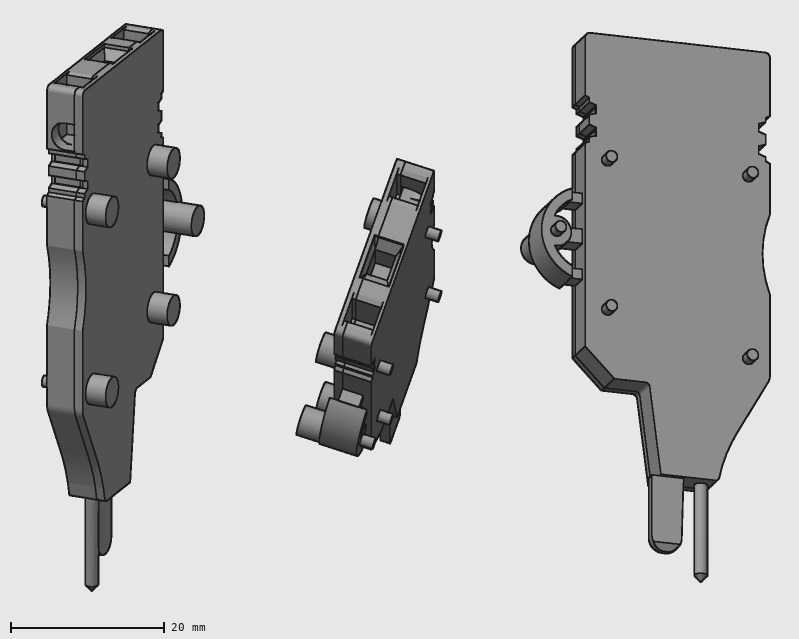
import cadquery as cq


total_height = 73.1
body_width = 25.5
body_thickness = 5.1
housing_thickness = 3.95
body_bottom = 13.4
top_corner_radius = 0.7

scallop_center_z = 45.3
scallop_half_height = 5.55
scallop_depth = 1.0

shoulder_z = 25.8
shoulder_chamfer = 4.0
nose_corner_y = 16.7
nose_corner_radius = 0.65
nose_far_y = 15.05
nose_near_y = 7.1
nose_tip_radius = 0.6
flank_round = ((0.0, 28.7), (0.3, 27.6))
flank_curve = ((4.45, 20.4), (6.6, 15.5))

grip_center_z = 61.1
grip_half_height = 3.3
grip_depth = 0.6
grip_chamfer = 0.3
groove_offset = 1.5
groove_mouth = 1.75
groove_bottom = 1.1
groove_depth = 0.95
panel_depth = 0.2

housing_wall = 0.45
cover_wall = 0.65
end_pocket_length = 4.7
end_pocket_throat = 3.2
end_pocket_margin = 1.4
end_pocket_lead_in = 0.2
middle_pocket_start = 11.05
middle_pocket_length = 6.15
middle_pocket_floor_length = 3.5
middle_pocket_lip = 0.5
middle_pocket_taper = 1.3
middle_pocket_depth = 7.3
core_near_x = 1.1
slot_bottom = 64.6
slot_height = 3.7

peg_radius = 0.77
peg_length = 1.75
boss_radius = 2.05
boss_length = 2.85
hub_boss_length = 3.15
peg_far_y = 22.45
peg_near_y = 3.0
peg_upper_z = 55.8
peg_places = [
    (peg_far_y, peg_upper_z),
    (peg_near_y, peg_upper_z),
    (peg_far_y, 35.2),
    (peg_near_y, 30.6),
]
ring_overhang = 6.0
ring_outer_radius = 6.5
ring_inner_radius = 5.1
ring_end_y = 27.3
arm_span = 11.85
outer_arm_height = 1.4
middle_arm_height = 2.0

blade_near_x = 0.65
blade_thickness = 1.3
blade_far_y = 16.1
blade_near_y = 11.7
blade_tip_near_y = 12.0
blade_tip_z = 3.2
blade_tip_radius = 1.9
blade_bevel_height = 1.0
blade_bevel_depth = 0.5
pin_x = 2.5
pin_y = 8.7
pin_radius = 0.9
pin_cone_height = 0.95

pocket_far_x = body_thickness - cover_wall
far_pocket_y = body_width - end_pocket_margin - end_pocket_length / 2
near_pocket_y = end_pocket_margin + end_pocket_length / 2
middle_pocket_y = middle_pocket_start + middle_pocket_length / 2
ring_center = (body_width + ring_overhang - ring_outer_radius, scallop_center_z)
hub_center = (body_width + ring_overhang - boss_radius, scallop_center_z)


def box(x_range, y_range, z_range):
    """Box between two limits along each axis."""
    low, high = zip(x_range, y_range, z_range)
    size = [b - a for a, b in zip(low, high)]
    return cq.Workplane("XY").box(*size, centered=False).translate(low)


def rod(place, radius, start_x, length):
    """Round bar along X, centred on a (Y, Z) place."""
    return cq.Workplane("YZ", origin=(start_x, 0, 0)).center(*place).circle(radius).extrude(length)


def centered_range(center, length):
    return (center - length / 2, center + length / 2)


def body_plate(start_x, thickness):
    """Slab with the outline shared by the housing and the cover."""
    plate = (
        cq.Workplane("YZ", origin=(start_x, 0, 0))
        .moveTo(body_width, total_height)
        .lineTo(0, total_height)
        .lineTo(0, scallop_center_z + scallop_half_height)
        .threePointArc((scallop_depth, scallop_center_z), (0, scallop_center_z - scallop_half_height))
        .lineTo(*flank_round[0])
        .tangentArcPoint(flank_round[1], relative=False)
        .lineTo(*flank_curve[0])
        .tangentArcPoint(flank_curve[1], relative=False)
        .lineTo(nose_near_y, body_bottom)
        .lineTo(nose_far_y, body_bottom)
        .lineTo(nose_corner_y, shoulder_z)
        .lineTo(body_width - shoulder_chamfer, shoulder_z)
        .lineTo(body_width, shoulder_z + shoulder_chamfer)
        .close()
        .extrude(thickness)
    )
    plate = plate.edges("|X and >Z").fillet(top_corner_radius)
    rounded_corners = [
        (nose_corner_y, shoulder_z, nose_corner_radius),
        (nose_near_y, body_bottom, nose_tip_radius),
    ]
    for y, z, radius in rounded_corners:
        corner = cq.selectors.NearestToPointSelector((start_x + thickness / 2, y, z))
        plate = plate.edges("|X").edges(corner).fillet(radius)
    return plate


def grip_cut():
    """Material removed for the finger grip on the Y = 0 edge."""
    z_low = grip_center_z - grip_half_height
    z_high = grip_center_z + grip_half_height
    cut = (
        cq.Workplane("YZ")
        .polyline([
            (0, z_low),
            (grip_depth, z_low + grip_chamfer),
            (grip_depth, z_high - grip_chamfer),
            (0, z_high),
        ])
        .close()
        .extrude(body_thickness)
    )
    groove_floor = grip_depth + groove_depth
    for center_z in (grip_center_z - groove_offset, grip_center_z + groove_offset):
        groove = (
            cq.Workplane("YZ")
            .polyline([
                (grip_depth, center_z - groove_mouth / 2),
                (groove_floor, center_z - groove_bottom / 2),
                (groove_floor, center_z + groove_bottom / 2),
                (grip_depth, center_z + groove_mouth / 2),
            ])
            .close()
            .extrude(body_thickness)
        )
        panel = box(
            (housing_wall, pocket_far_x),
            (groove_floor, groove_floor + panel_depth),
            centered_range(center_z, groove_bottom),
        )
        cut = cut.union(groove).union(panel)
    return cut


def end_pocket(center_y):
    """Terminal opening in the top, with sloped lead-ins at both Y ends."""
    mouth = end_pocket_length / 2
    throat = end_pocket_throat / 2
    throat_z = total_height - end_pocket_lead_in
    return (
        cq.Workplane("YZ", origin=(housing_wall, 0, 0))
        .polyline([
            (center_y - mouth, total_height),
            (center_y - throat, throat_z),
            (center_y - throat, slot_bottom),
            (center_y + throat, slot_bottom),
            (center_y + throat, throat_z),
            (center_y + mouth, total_height),
        ])
        .close()
        .extrude(pocket_far_x - housing_wall)
    )


def middle_pocket():
    """Test socket in the top: straight lip, four-sided funnel, then a straight shaft."""
    mouth_x = (housing_wall, pocket_far_x)
    shaft_x = (core_near_x, housing_thickness)
    shaft_y = centered_range(middle_pocket_y, middle_pocket_floor_length)
    funnel_top = total_height - middle_pocket_lip
    lip = box(mouth_x, centered_range(middle_pocket_y, middle_pocket_length), (funnel_top, total_height))
    shaft = box(shaft_x, shaft_y, (total_height - middle_pocket_depth, total_height))
    funnel = (
        cq.Workplane("XY", origin=(0, middle_pocket_y, funnel_top))
        .center(sum(mouth_x) / 2, 0)
        .rect(mouth_x[1] - mouth_x[0], middle_pocket_length)
        .workplane(offset=-middle_pocket_taper)
        .center(sum(shaft_x) / 2 - sum(mouth_x) / 2, 0)
        .rect(shaft_x[1] - shaft_x[0], middle_pocket_floor_length)
        .loft(ruled=True)
    )
    return lip.union(funnel).union(shaft)


def wire_slot():
    """Round-ended slot from the Y = 0 edge into the near pocket, open towards the cover."""
    radius = slot_height / 2
    center_z = slot_bottom + radius
    round_end = (
        cq.Workplane("XZ")
        .center(body_thickness / 2, center_z)
        .circle(radius)
        .extrude(-near_pocket_y)
    )
    straight = box(
        (body_thickness / 2, housing_thickness),
        (0, near_pocket_y),
        (slot_bottom, slot_bottom + slot_height),
    )
    housing_side = box((0, housing_thickness), (0, near_pocket_y), (0, total_height))
    return round_end.union(straight).intersect(housing_side)


def openings():
    """Every cut that crosses the seam between housing and cover."""
    grip = grip_cut()
    far_grip = grip.mirror("XZ").translate((0, body_width, 0))
    cuts = grip.union(far_grip).union(middle_pocket())
    for center_y in (near_pocket_y, far_pocket_y):
        cuts = cuts.union(end_pocket(center_y))
    return cuts


def ring():
    """Half ring with a hub, held beside the housing by three arms."""
    hoop = rod(ring_center, ring_outer_radius, 0, body_thickness)
    hoop = hoop.cut(rod(ring_center, ring_inner_radius, 0, body_thickness))
    outside = box((0, body_thickness), (ring_end_y, body_width + ring_overhang), (0, total_height))
    shape = hoop.intersect(outside).union(rod(hub_center, boss_radius, 0, body_thickness))
    outer_arm_z = (arm_span - outer_arm_height) / 2
    arms = [
        (scallop_center_z + outer_arm_z, outer_arm_height, ring_end_y),
        (scallop_center_z, middle_arm_height, hub_center[0]),
        (scallop_center_z - outer_arm_z, outer_arm_height, ring_end_y),
    ]
    for center_z, height, end_y in arms:
        arm = box((core_near_x, housing_thickness), (body_width, end_y), centered_range(center_z, height))
        shape = shape.union(arm)
    shape = shape.union(rod(hub_center, boss_radius, body_thickness, hub_boss_length))
    return shape.union(rod(hub_center, peg_radius, -peg_length, peg_length))


def make_housing():
    housing = body_plate(0, housing_thickness).cut(openings()).cut(wire_slot())
    for place in peg_places:
        housing = housing.union(rod(place, peg_radius, -peg_length, peg_length))
    return housing.union(ring())


def make_cover():
    cover = body_plate(housing_thickness, body_thickness - housing_thickness).cut(openings())
    for place in peg_places:
        cover = cover.union(rod(place, boss_radius, body_thickness, boss_length))
    return cover


def make_blade():
    """Flat contact with a rounded tip, bevelled on its outer side."""
    blade = (
        cq.Workplane("YZ", origin=(blade_near_x, 0, 0))
        .polyline([
            (blade_far_y, body_bottom),
            (blade_far_y, blade_tip_z),
            (blade_tip_near_y, blade_tip_z),
            (blade_near_y, body_bottom),
        ])
        .close()
        .extrude(blade_thickness)
    )
    blade = blade.edges("|X and <Z").fillet(blade_tip_radius)
    bevel = (
        cq.Workplane("XZ")
        .polyline([
            (blade_near_x, blade_tip_z),
            (blade_near_x + blade_bevel_depth, blade_tip_z),
            (blade_near_x, blade_tip_z + blade_bevel_height),
        ])
        .close()
        .extrude(-body_width)
    )
    return blade.cut(bevel)


def make_pin():
    """Round test pin with a conical point."""
    return (
        cq.Workplane("XZ", origin=(pin_x, pin_y, 0))
        .polyline([
            (0, 0),
            (pin_radius, pin_cone_height),
            (pin_radius, body_bottom),
            (0, body_bottom),
        ])
        .close()
        .revolve(360, (0, 0, 0), (0, 1, 0))
    )


housing = make_housing()
cover = make_cover()
blade = make_blade()
pin = make_pin()

result = cq.Compound.makeCompound([housing.val(), cover.val(), blade.val(), pin.val()])